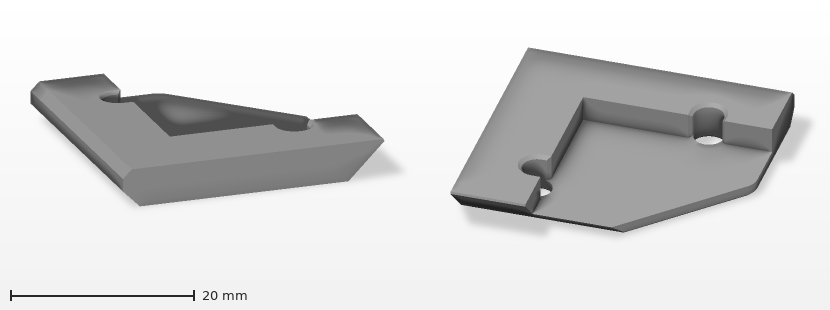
import cadquery as cq

WIDTH = 30.03
DEPTH = 30.22
HEIGHT = 4.4

FRONT_TOP_BEVEL = 1.0
FRONT_BOTTOM_BEVEL = 1.95
BACK_TIP_DROP = 0.25
BACK_TIP_SETBACK = 0.1

CORNER_CUT_START = 14.93
CORNER_ROUND_RADIUS = 2.2
BOTTOM_CHAMFER = 0.3

FLOOR_HEIGHT = 1.4
WALL_FRONT_Y = 8.45
WALL_RIGHT_X = 21.5

HOLE_DIAMETER = 3.4
HOLE_RADIUS = HOLE_DIAMETER / 2
HOLE_INSET = 1.0
FRONT_HOLE_X = 7.5
RIGHT_HOLE_Y = 22.47
NOTCH_CHAMFER = 0.4
CHAMFER_ANGLE = 45

CLEARANCE = 2.0


def beveled_bar():
    """Side profile with beveled front and undercut back, extruded across the width."""
    tip_height = HEIGHT - BACK_TIP_DROP
    profile = [
        (FRONT_BOTTOM_BEVEL, 0),
        (0, FRONT_BOTTOM_BEVEL),
        (0, HEIGHT - FRONT_TOP_BEVEL),
        (FRONT_TOP_BEVEL, HEIGHT),
        (DEPTH - BACK_TIP_SETBACK, HEIGHT),
        (DEPTH, tip_height),
        (DEPTH - tip_height, 0),
    ]
    return cq.Workplane("YZ").polyline(profile).close().extrude(WIDTH)


def corner_envelope():
    """Block with the rounded corner cut and a chamfered bottom edge.

    It runs past the bar on the front, right and back, so only its left side and corner cut shape the part.
    """
    front = -CLEARANCE
    back = DEPTH + CLEARANCE
    right = WIDTH + CLEARANCE
    outline = [
        (0, front),
        (right, front),
        (right, back),
        (back - CORNER_CUT_START, back),
        (0, CORNER_CUT_START),
    ]
    block = cq.Workplane("XY").polyline(outline).close().extrude(HEIGHT)
    corner = cq.selectors.NearestToPointSelector((0, CORNER_CUT_START, HEIGHT / 2))
    block = block.edges("|Z").edges(corner).fillet(CORNER_ROUND_RADIUS)
    return block.faces("<Z").edges().chamfer(BOTTOM_CHAMFER)


def recess():
    """Volume above the recess floor, open to the left and back."""
    size_x = WALL_RIGHT_X + CLEARANCE
    size_y = DEPTH + CLEARANCE - WALL_FRONT_Y
    return (
        cq.Workplane("XY")
        .box(size_x, size_y, HEIGHT, centered=False)
        .translate((-CLEARANCE, WALL_FRONT_Y, FLOOR_HEIGHT))
    )


def notch_outline(plane, radius):
    """U shape rounded about the hole axis, open past the wall face towards +Y."""
    mouth = HOLE_INSET + CLEARANCE
    return (
        plane.moveTo(-radius, mouth)
        .lineTo(-radius, 0)
        .threePointArc((0, -radius), (radius, 0))
        .lineTo(radius, mouth)
        .close()
    )


def hole_with_notch():
    """Through hole on the Z axis and its notch, both chamfered, with the wall face at Y = HOLE_INSET."""
    hole = cq.Workplane("XY").circle(HOLE_RADIUS).extrude(HEIGHT)
    bottom_rim = (
        cq.Workplane("XY")
        .circle(HOLE_RADIUS + BOTTOM_CHAMFER)
        .extrude(BOTTOM_CHAMFER, taper=CHAMFER_ANGLE)
    )

    floor_plane = cq.Workplane("XY").workplane(offset=FLOOR_HEIGHT)
    notch = notch_outline(floor_plane, HOLE_RADIUS).extrude(HEIGHT - FLOOR_HEIGHT)

    top_plane = cq.Workplane("XY").workplane(offset=HEIGHT)
    rim_radius = HOLE_RADIUS + NOTCH_CHAMFER
    rim = notch_outline(top_plane, rim_radius).extrude(-NOTCH_CHAMFER, taper=CHAMFER_ANGLE)

    mouth_flare = (
        floor_plane.polyline([
            (-rim_radius, HOLE_INSET),
            (-HOLE_RADIUS, HOLE_INSET - NOTCH_CHAMFER),
            (HOLE_RADIUS, HOLE_INSET - NOTCH_CHAMFER),
            (rim_radius, HOLE_INSET),
        ])
        .close()
        .extrude(HEIGHT - FLOOR_HEIGHT)
    )
    return hole.union(bottom_rim).union(notch).union(rim).union(mouth_flare)


front_hole = hole_with_notch().translate((FRONT_HOLE_X, WALL_FRONT_Y - HOLE_INSET, 0))

right_hole = (
    hole_with_notch()
    .rotate((0, 0, 0), (0, 0, 1), 90)
    .translate((WALL_RIGHT_X + HOLE_INSET, RIGHT_HOLE_Y, 0))
)

result = (
    beveled_bar()
    .intersect(corner_envelope())
    .cut(recess())
    .cut(front_hole)
    .cut(right_hole)
)